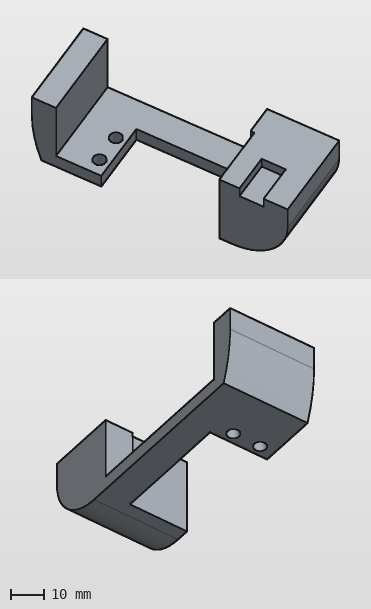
import cadquery as cq

length = 88.7
width = 31.2
height = 27.5

end_wall = 8.4
floor_thickness = 5.05
block_start = 63.7
straight_side = 8.3
curve_height = height - straight_side
left_toe = 3.4

bar_width = 10.0
opening_start = 24.1
opening_end = 65.0

hole_diameter = 4.3
hole_x = 20.5
hole_y_positions = (5.2, 15.2)

pocket_start = 72.0
pocket_width = 8.3
pocket_length = 13.4
pocket_depth = 3.6


def box_at(x, y, z, x_size, y_size, z_size):
    """Box placed by its lowest corner."""
    return cq.Workplane("XY").box(x_size, y_size, z_size, centered=False).translate((x, y, z))


def cradle_body():
    """Extruded side profile with a rounded right end and a gently curved left end."""
    return (
        cq.Workplane("XZ")
        .moveTo(left_toe, 0)
        .lineTo(length - curve_height, 0)
        .tangentArcPoint((length, curve_height), relative=False)
        .lineTo(length, height)
        .lineTo(block_start, height)
        .lineTo(block_start, floor_thickness)
        .lineTo(end_wall, floor_thickness)
        .lineTo(end_wall, height)
        .lineTo(0, height)
        .lineTo(0, curve_height)
        .tangentArcPoint((left_toe, 0), relative=False)
        .close()
        .extrude(-width)
    )


def front_opening():
    """Full-height cutter that separates the left foot from the block."""
    return box_at(opening_start, 0, 0, opening_end - opening_start, width - bar_width, height)


def mounting_holes():
    """Pair of vertical through holes."""
    centers = [(hole_x, y) for y in hole_y_positions]
    return cq.Workplane("XY").pushPoints(centers).circle(hole_diameter / 2).extrude(floor_thickness)


def top_pocket():
    """Shallow pocket open to the top and the front."""
    return box_at(pocket_start, 0, height - pocket_depth, pocket_width, pocket_length, pocket_depth)


result = cradle_body().cut(front_opening()).cut(mounting_holes()).cut(top_pocket())